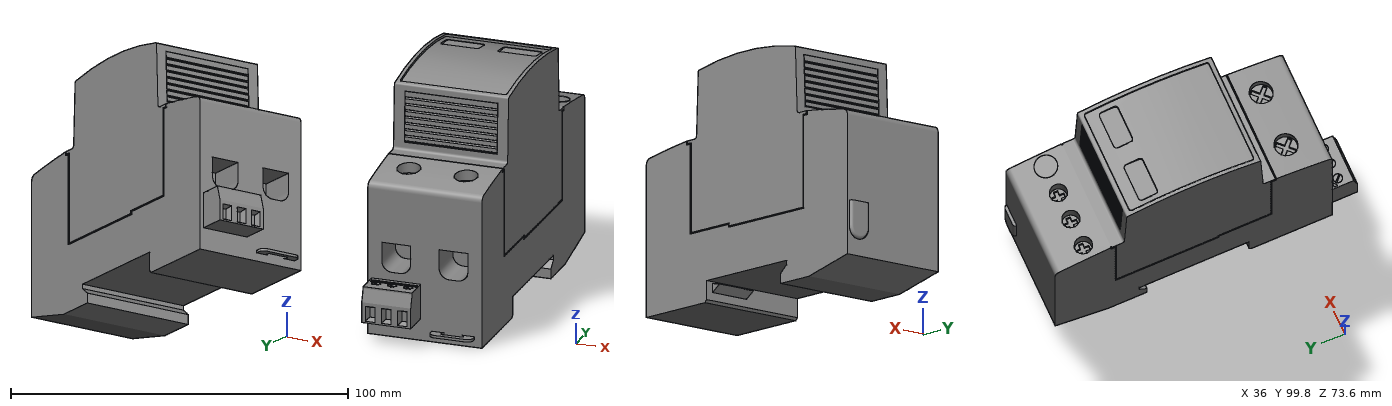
import cadquery as cq
import math


WIDTH = 36.0
MODULE_PITCH = 18.1
POLE_XS = (-MODULE_PITCH / 2, MODULE_PITCH / 2)
OVERALL_LENGTH = 99.8
DEPTH = 90.0
HALF_DEPTH = DEPTH / 2

SHOULDER_Z = 50.6
SHOULDER_FLAT_Y = 26.7
SHOULDER_ARC_RADIUS = 249.5
SHOULDER_FILLET = 2.0

TOP_Z = 73.6
DOME_RADIUS = 99.8
HEAD_TOP_Y = 21.8
HEAD_BASE_Y = 22.6
HEAD_EDGE_FILLET = 0.6
HEAD_ROOT_FILLET = 0.9

RAIL_Z = 6.6
RAIL_FRONT_Y = -18.0
RAIL_REAR_Y = 17.7
HOOK_Y = 15.2
HOOK_LOW_Z = 3.1
HOOK_HIGH_Z = 5.2
FOOT_CHAMFER = 0.8
FOOT_SLOPE_Y = 27.7
FOOT_SLOPE_Z = 3.9

SEAM = 0.3
SEAM_Y = 25.2
SEAM_Z = 21.4
SEAM_STEP_Z = 22.3
SEAM_STEP_Y = -8.1
SEAM_LIP_DEPTH = 1.0

LABEL_WIDTH = 33.6
LABEL_LENGTH = 40.4
LABEL_DEPTH = 0.7
LABEL_CORNER = 0.7
WINDOW_WIDTH = 12.2
WINDOW_REAR_Y = 16.3
WINDOW_FRONT_Y = 10.2
WINDOW_CORNER = 1.0
WINDOW_FLOOR_Z = 71.4

LOUVRE_WIDTH = 29.2
LOUVRE_TOP_Z = 69.1
LOUVRE_BOTTOM_Z = 53.1
LOUVRE_COUNT = 7
LOUVRE_PITCH = 2.0
LOUVRE_FIRST_Z = 54.7
LOUVRE_SLOT = 0.6
LOUVRE_BOTTOM_SLOT = 0.4
LOUVRE_SILL_RISE = 0.3
LOUVRE_RECESS = 0.2
LOUVRE_SLOT_DEPTH = 0.8

WIRE_WIDTH = 9.1
WIRE_TOP_Z = 29.6
WIRE_CORNER = 3.3
WIRE_BOTTOM_Z = 20.5
WIRE_DEPTH = 12.0
SCREW_DIAMETER = 7.1
FRONT_SCREW_Y = -33.9
FRONT_SCREW_DEPTH = 2.8
FRONT_CROSS_LENGTH = 6.4
CROSS_WIDTH = 1.3
CROSS_DEPTH = 1.0

REAR_SCREW_DIAMETER = 5.4
REAR_SCREW_PITCH = 9.1
REAR_SCREW_Y = 33.9
REAR_SCREW_DEPTH = 4.0
REAR_CROSS_LENGTH = 4.1
REAR_PITCH_XS = [(i - 1.5) * REAR_SCREW_PITCH for i in range(4)]
BUTTON_PROUD = 0.2
BUTTON_SUNK = 2.0

CAP_WIDTH = 7.2
CAP_BOTTOM_Z = 9.0
CAP_TOP_Z = 20.4
CAP_PROUD = 1.0
CAP_FILLET = 0.9

PLUG_LEFT_X = -16.8
PLUG_WIDTH = 15.5
PLUG_PITCH = 5.1
PLUG_BOTTOM_Z = 6.9
PLUG_TOP_Z = 17.9
PLUG_BEVEL_TOP_Z = 17.3
PLUG_BEVEL_BOTTOM_Z = 13.3
PLUG_NOSE_Y = -52.6
PLUG_FRONT_Y = HALF_DEPTH + CAP_PROUD - OVERALL_LENGTH
PLUG_MIDDLE_X = PLUG_LEFT_X + PLUG_WIDTH / 2
PLUG_XS = [PLUG_MIDDLE_X + i * PLUG_PITCH for i in (-1, 0, 1)]
PLUG_SCREW_Y = -48.5
PLUG_SCREW_DIAMETER = 2.8
PLUG_SCREW_DEPTH = 0.3
PLUG_SLOT_WIDTH = 0.4
PLUG_COLLAR_DIAMETER = 4.0
PLUG_BAND_REAR_Y = -46.4
PLUG_BAND_FRONT_Y = -47.4
PLUG_BAND_END = 0.5
PLUG_BAND_DEPTH = 0.2
ENTRY_WIDTH = 3.0
ENTRY_HEIGHT = 4.7
ENTRY_Z = 9.8
ENTRY_INSET = 0.7
ENTRY_DEPTH = 2.0

LATCH_TIP_Y = -14.9
LATCH_TIP_Z = 5.4
LATCH_TOP_Z = 6.1
LATCH_LOW_Z = 3.3
TAB_LEFT_X = 2.2
TAB_RIGHT_X = 15.7
TAB_BOTTOM_Z = 2.6
TAB_THICKNESS = 0.8
TAB_REACH = 3.0
TAB_CORNER = 1.7
TAB_SLOT_LENGTH = 7.1
TAB_SLOT_WIDTH = 1.5

ROOT = 1.0


def arc_z(y, apex_z, radius):
    """Height at y of an arc whose apex lies at y = 0."""
    return apex_z - radius + math.sqrt(radius**2 - y**2)


def dome_z(y):
    return arc_z(y, TOP_Z, DOME_RADIUS)


SHOULDER_APEX_Z = SHOULDER_Z + SHOULDER_ARC_RADIUS - math.sqrt(SHOULDER_ARC_RADIUS**2 - SHOULDER_FLAT_Y**2)


def shoulder_z(y):
    return arc_z(y, SHOULDER_APEX_Z, SHOULDER_ARC_RADIUS)


def extrude_x(sketch, width, middle_x=0.0):
    """Extrude a YZ sketch evenly about middle_x."""
    return sketch.extrude(width / 2, both=True).translate((middle_x, 0, 0))


def box(x_range, y_range, z_range):
    """Box from its limits along each axis."""
    limits = (x_range, y_range, z_range)
    size = [high - low for low, high in limits]
    return cq.Workplane("XY").box(*size, centered=False).translate([low for low, _ in limits])


def upright_cylinder(x, y, bottom_z, diameter, height):
    return cq.Workplane("XY", origin=(x, y, bottom_z)).circle(diameter / 2).extrude(height)


def housing():
    middle_y = (SHOULDER_FLAT_Y + HALF_DEPTH) / 2
    end_z = shoulder_z(HALF_DEPTH)
    head_z = dome_z(HEAD_TOP_Y)
    profile = (
        cq.Workplane("YZ")
        .moveTo(-HALF_DEPTH, 0)
        .lineTo(-HALF_DEPTH, end_z)
        .threePointArc((-middle_y, shoulder_z(middle_y)), (-SHOULDER_FLAT_Y, SHOULDER_Z))
        .lineTo(-HEAD_BASE_Y, SHOULDER_Z)
        .lineTo(-HEAD_TOP_Y, head_z)
        .threePointArc((0, TOP_Z), (HEAD_TOP_Y, head_z))
        .lineTo(HEAD_BASE_Y, SHOULDER_Z)
        .lineTo(SHOULDER_FLAT_Y, SHOULDER_Z)
        .threePointArc((middle_y, shoulder_z(middle_y)), (HALF_DEPTH, end_z))
        .lineTo(HALF_DEPTH, FOOT_SLOPE_Z)
        .lineTo(FOOT_SLOPE_Y, 0)
        .lineTo(HOOK_Y, 0)
        .lineTo(HOOK_Y, HOOK_LOW_Z)
        .lineTo(RAIL_REAR_Y, HOOK_HIGH_Z)
        .lineTo(RAIL_REAR_Y, RAIL_Z)
        .lineTo(RAIL_FRONT_Y, RAIL_Z)
        .lineTo(RAIL_FRONT_Y, FOOT_CHAMFER)
        .lineTo(RAIL_FRONT_Y - FOOT_CHAMFER, 0)
        .close()
    )
    body = extrude_x(profile, WIDTH)

    def round_edges(body, y, z, radius):
        near = 0.1
        edges = cq.selectors.BoxSelector((-1, -y - near, z - near), (1, -y + near, z + near))
        mirror_edges = cq.selectors.BoxSelector((-1, y - near, z - near), (1, y + near, z + near))
        return body.edges(edges + mirror_edges).fillet(radius)

    body = round_edges(body, HALF_DEPTH, end_z, SHOULDER_FILLET)
    body = round_edges(body, HEAD_TOP_Y, head_z, HEAD_EDGE_FILLET)
    return round_edges(body, HEAD_BASE_Y, SHOULDER_Z, HEAD_ROOT_FILLET)


def seam():
    """Shallow gap round the cassette on both sides, and its front lip line across the shoulder."""
    lip_z = SHOULDER_Z - SEAM_LIP_DEPTH

    def outline(grow):
        return (
            cq.Workplane("YZ")
            .polyline([
                (-SHOULDER_FLAT_Y - grow, TOP_Z),
                (-SHOULDER_FLAT_Y - grow, lip_z - grow),
                (-SEAM_Y - grow, lip_z - grow),
                (-SEAM_Y - grow, SEAM_STEP_Z - grow),
                (SEAM_STEP_Y - grow, SEAM_STEP_Z - grow),
                (SEAM_STEP_Y - grow, SEAM_Z - grow),
                (SEAM_Y + grow, SEAM_Z - grow),
                (SEAM_Y + grow, lip_z - grow),
                (SHOULDER_FLAT_Y + grow, lip_z - grow),
                (SHOULDER_FLAT_Y + grow, TOP_Z),
            ])
            .close()
        )

    gap = extrude_x(outline(SEAM / 2), WIDTH).cut(extrude_x(outline(-SEAM / 2), WIDTH))
    core = extrude_x(cq.Workplane("YZ").rect(DEPTH, 2 * TOP_Z), WIDTH - 2 * SEAM)
    lip = box(
        (-WIDTH / 2, WIDTH / 2),
        (-SHOULDER_FLAT_Y - SEAM / 2, -SHOULDER_FLAT_Y + SEAM / 2),
        (lip_z, TOP_Z),
    )
    return gap.cut(core).union(lip)


def label_recess():
    """Rounded recess parallel to the dome, with two flat-bottomed windows in its floor."""
    half = LABEL_LENGTH / 2
    floor_z = dome_z(half) - LABEL_DEPTH
    space = extrude_x(
        cq.Workplane("YZ")
        .moveTo(half, floor_z)
        .threePointArc((0, TOP_Z - LABEL_DEPTH), (-half, floor_z))
        .lineTo(-half, TOP_Z)
        .lineTo(half, TOP_Z)
        .close(),
        LABEL_WIDTH,
    )
    recess = space.edges("|Z").fillet(LABEL_CORNER)
    windows = (
        cq.Workplane("XY", origin=(0, (WINDOW_REAR_Y + WINDOW_FRONT_Y) / 2, WINDOW_FLOOR_Z))
        .pushPoints([(x, 0) for x in POLE_XS])
        .rect(WINDOW_WIDTH, WINDOW_REAR_Y - WINDOW_FRONT_Y)
        .extrude(TOP_Z - WINDOW_FLOOR_Z)
        .edges("|Z")
        .fillet(WINDOW_CORNER)
    )
    return recess.union(windows)


def louvres():
    """Shallow panel with sloping slots in the leaning front wall of the head."""
    lean = (HEAD_BASE_Y - HEAD_TOP_Y) / (dome_z(HEAD_TOP_Y) - SHOULDER_Z)

    def inside(z, depth):
        """Point at height z, set back from the leaning wall by depth."""
        return (lean * (z - SHOULDER_Z) - HEAD_BASE_Y + depth, z)

    def band(low_z, high_z, depth, sill_rise=0.0):
        corners = [inside(low_z, -ROOT), inside(low_z + sill_rise, depth)]
        corners += [inside(high_z, depth), inside(high_z, -ROOT)]
        if sill_rise:
            corners.insert(1, inside(low_z, LOUVRE_RECESS))
        return extrude_x(cq.Workplane("YZ").polyline(corners).close(), LOUVRE_WIDTH)

    panel = band(LOUVRE_BOTTOM_Z + LOUVRE_BOTTOM_SLOT, LOUVRE_TOP_Z, LOUVRE_RECESS)
    panel = panel.union(band(LOUVRE_BOTTOM_Z, LOUVRE_BOTTOM_Z + LOUVRE_BOTTOM_SLOT, LOUVRE_SLOT_DEPTH))
    for i in range(LOUVRE_COUNT):
        slot_z = LOUVRE_FIRST_Z + i * LOUVRE_PITCH
        panel = panel.union(band(slot_z, slot_z + LOUVRE_SLOT, LOUVRE_SLOT_DEPTH, LOUVRE_SILL_RISE))
    return panel


def wire_entry(x):
    """Front wire opening: square above, broadly rounded below."""
    return (
        box(
            (x - WIRE_WIDTH / 2, x + WIRE_WIDTH / 2),
            (-HALF_DEPTH, -HALF_DEPTH + WIRE_DEPTH),
            (WIRE_BOTTOM_Z, WIRE_TOP_Z),
        )
        .edges("|Y and <Z")
        .fillet(WIRE_CORNER)
    )


def screw_well(x, y, diameter, depth, cross_length, cross_angle):
    """Round well down to a screw head that carries a cross slot."""
    head_z = shoulder_z(y) - depth
    well = upright_cylinder(x, y, head_z, diameter, TOP_Z - head_z)
    for angle in (cross_angle, cross_angle + 90):
        slot = (
            cq.Workplane("XY", origin=(x, y, head_z - CROSS_DEPTH))
            .transformed(rotate=(0, 0, angle))
            .rect(cross_length, CROSS_WIDTH)
            .extrude(CROSS_DEPTH + depth / 2)
        )
        well = well.union(slot.intersect(upright_cylinder(x, y, 0, diameter, TOP_Z)))
    return well


def button():
    """Round button standing slightly proud of, and parallel to, the rear shoulder."""
    tilt = math.degrees(math.asin(REAR_SCREW_Y / SHOULDER_ARC_RADIUS))
    return (
        cq.Workplane("XY")
        .circle(SCREW_DIAMETER / 2)
        .extrude(BUTTON_SUNK + BUTTON_PROUD)
        .translate((0, 0, -BUTTON_SUNK))
        .rotate((0, 0, 0), (1, 0, 0), -tilt)
        .translate((REAR_PITCH_XS[-1], REAR_SCREW_Y, shoulder_z(REAR_SCREW_Y)))
    )


def rear_cap():
    """Cap on the rear wall: flat sharp top, half-round lower end, rounded along its sides."""
    radius = CAP_WIDTH / 2
    round_z = CAP_BOTTOM_Z + radius
    return (
        cq.Workplane("XZ", origin=(REAR_PITCH_XS[-1], HALF_DEPTH - ROOT, 0))
        .moveTo(-radius, CAP_TOP_Z)
        .lineTo(-radius, round_z)
        .threePointArc((0, CAP_BOTTOM_Z), (radius, round_z))
        .lineTo(radius, CAP_TOP_Z)
        .close()
        .extrude(-CAP_PROUD - ROOT)
        .faces(">Y")
        .edges("not >Z")
        .fillet(CAP_FILLET)
    )


def plug():
    inner_y = -HALF_DEPTH + ROOT
    body = extrude_x(
        cq.Workplane("YZ")
        .polyline([
            (inner_y, PLUG_BOTTOM_Z),
            (inner_y, PLUG_TOP_Z),
            (PLUG_NOSE_Y, PLUG_TOP_Z),
            (PLUG_NOSE_Y, PLUG_BEVEL_TOP_Z),
            (PLUG_FRONT_Y, PLUG_BEVEL_BOTTOM_Z),
            (PLUG_FRONT_Y, PLUG_BOTTOM_Z),
        ])
        .close(),
        PLUG_WIDTH,
        PLUG_MIDDLE_X,
    )
    band = box(
        (PLUG_LEFT_X + PLUG_BAND_END, PLUG_LEFT_X + PLUG_WIDTH - PLUG_BAND_END),
        (PLUG_BAND_FRONT_Y, PLUG_BAND_REAR_Y),
        (PLUG_TOP_Z - PLUG_BAND_DEPTH, PLUG_TOP_Z),
    )
    screw_z = PLUG_TOP_Z - PLUG_SCREW_DEPTH
    for x in PLUG_XS:
        band = band.cut(upright_cylinder(x, PLUG_SCREW_Y, 0, PLUG_COLLAR_DIAMETER, TOP_Z))
        screw = upright_cylinder(x, PLUG_SCREW_Y, screw_z, PLUG_SCREW_DIAMETER, PLUG_SCREW_DEPTH)
        slot = (
            cq.Workplane("XY", origin=(x, PLUG_SCREW_Y, screw_z - PLUG_SCREW_DEPTH))
            .transformed(rotate=(0, 0, -45))
            .slot2D(PLUG_SCREW_DIAMETER, PLUG_SLOT_WIDTH)
            .extrude(PLUG_SCREW_DEPTH)
        )
        entry = (
            cq.Workplane("XZ", origin=(x, PLUG_FRONT_Y, ENTRY_Z))
            .rect(ENTRY_WIDTH, ENTRY_HEIGHT)
            .workplane(offset=-ENTRY_DEPTH)
            .rect(ENTRY_WIDTH - 2 * ENTRY_INSET, ENTRY_HEIGHT - 2 * ENTRY_INSET)
            .loft()
        )
        body = body.cut(screw).cut(slot).cut(entry)
    return body.cut(band)


def latch_tooth():
    """Wedge that catches the rail."""
    root_y = RAIL_FRONT_Y - ROOT
    return extrude_x(
        cq.Workplane("YZ")
        .polyline([
            (root_y, LATCH_LOW_Z),
            (RAIL_FRONT_Y, LATCH_LOW_Z),
            (LATCH_TIP_Y, LATCH_TIP_Z),
            (RAIL_FRONT_Y, LATCH_TOP_Z),
            (root_y, LATCH_TOP_Z),
        ])
        .close(),
        TAB_RIGHT_X - TAB_LEFT_X,
        (TAB_LEFT_X + TAB_RIGHT_X) / 2,
    )


def latch_tab():
    """Pull tab of the latch with a slot for a screwdriver."""
    plate = box(
        (TAB_LEFT_X, TAB_RIGHT_X),
        (-HALF_DEPTH - TAB_REACH, -HALF_DEPTH + ROOT),
        (TAB_BOTTOM_Z, TAB_BOTTOM_Z + TAB_THICKNESS),
    )
    slot = (
        cq.Workplane("XY", origin=((TAB_LEFT_X + TAB_RIGHT_X) / 2, -HALF_DEPTH - TAB_SLOT_WIDTH / 2, 0))
        .slot2D(TAB_SLOT_LENGTH, TAB_SLOT_WIDTH)
        .extrude(RAIL_Z)
    )
    return plate.edges("|Z and <Y").fillet(TAB_CORNER).cut(slot)


result = housing().cut(seam()).cut(label_recess())
front_louvres = louvres()
result = result.cut(front_louvres).cut(front_louvres.mirror("XZ"))
for pole_x in POLE_XS:
    result = result.cut(wire_entry(pole_x))
    result = result.cut(
        screw_well(pole_x, FRONT_SCREW_Y, SCREW_DIAMETER, FRONT_SCREW_DEPTH, FRONT_CROSS_LENGTH, 45)
    )
for screw_x in REAR_PITCH_XS[:-1]:
    result = result.cut(
        screw_well(screw_x, REAR_SCREW_Y, REAR_SCREW_DIAMETER, REAR_SCREW_DEPTH, REAR_CROSS_LENGTH, 0)
    )
for added in (button(), rear_cap(), plug(), latch_tooth(), latch_tab()):
    result = result.union(added)